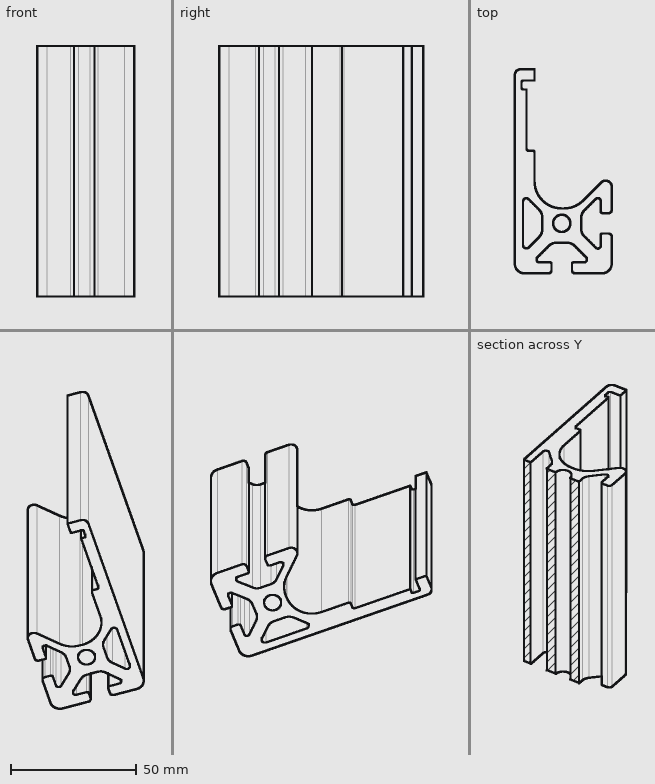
import math

import cadquery as cq

length = 100.0
bore_diameter = 6.8

width = 38.8
height = 81.5
slotted_side = 20.0
right_x = slotted_side
bottom_y = -slotted_side
left_x = right_x - width
top_y = bottom_y + height
foot_radius = 4.0
plate_tip_radius = 2.5

slot_half_width = 4.0
lip_thickness = 4.5
lip_depth = right_x - lip_thickness
lip_outer_radius = 1.4
lip_inner_radius = 0.8

core_half = 7.8
core_corner_radius = 4.0
web_offset = 3.9
slot_tip_radius = 1.1

pocket_wall = 3.4
pocket_web_offset = 3.6
pocket_core_radius = 4.5
pocket_wall_radius = 1.3

thick_plate_x = left_x + 8.0
thin_plate_x = left_x + 4.8
step_y = 29.0
step_inner_radius = 0.8
step_outer_radius = 0.8
hook_thickness = 4.6
notch_width = 3.5
notch_floor_x = left_x + 2.8
notch_radius = 0.6
hook_y = top_y - hook_thickness
notch_bottom_y = hook_y - notch_width

channel_floor_y = 6.0
channel_radius = 10.7
arm_rise = 0.6
arm_tip_radius = 2.5


def unit_vector(start, end):
    """Unit vector from start to end, both given as (x, y, ...)."""
    dx = end[0] - start[0]
    dy = end[1] - start[1]
    size = math.hypot(dx, dy)
    return dx / size, dy / size


def round_corner(before, corner, after):
    """Start, middle and end points of the arc that rounds one corner (x, y, radius)."""
    x, y, radius = corner
    ax, ay = unit_vector(corner, before)
    bx, by = unit_vector(corner, after)
    half_angle = math.acos(ax * bx + ay * by) / 2
    tangent = radius / math.tan(half_angle)
    bisector = math.hypot(ax + bx, ay + by)
    reach = radius / math.sin(half_angle) - radius
    start = (x + ax * tangent, y + ay * tangent)
    middle = (x + (ax + bx) / bisector * reach, y + (ay + by) / bisector * reach)
    end = (x + bx * tangent, y + by * tangent)
    return start, middle, end


def rounded_prism(corners):
    """Full-length prism of a closed outline of corners (x, y, radius); the first is left sharp."""
    outline = cq.Workplane("XY").moveTo(*corners[0][:2])
    for i in range(1, len(corners)):
        corner = corners[i]
        if corner[2] == 0:
            outline = outline.lineTo(*corner[:2])
            continue
        start, middle, end = round_corner(corners[i - 1], corner, corners[(i + 1) % len(corners)])
        outline = outline.lineTo(*start).threePointArc(middle, end)
    return outline.close().extrude(length)


def slot_corners():
    """Right-hand T-slot from its lower lip to its upper lip."""
    tip = lip_depth - web_offset
    core_corner = core_half - web_offset
    lower_half = [
        (right_x, -slot_half_width, lip_outer_radius),
        (lip_depth, -slot_half_width, lip_inner_radius),
        (lip_depth, -tip, slot_tip_radius),
        (core_half, -core_corner, core_corner_radius),
    ]
    upper_half = [(x, -y, radius) for x, y, radius in reversed(lower_half)]
    return lower_half + upper_half


def body():
    """Outer profile, listed anticlockwise from the hook at the top of the plate."""
    right_slot = slot_corners()
    bottom_slot = [(y, -x, radius) for x, y, radius in right_slot]
    plate = [
        (thick_plate_x, step_y, step_outer_radius),
        (thin_plate_x, step_y, step_inner_radius),
        (thin_plate_x, notch_bottom_y, 0),
        (notch_floor_x, notch_bottom_y, notch_radius),
        (notch_floor_x, hook_y, notch_radius),
        (thick_plate_x, hook_y, 0),
    ]
    channel = [
        (right_x, right_x + arm_rise, arm_tip_radius),
        (channel_floor_y - arm_rise, channel_floor_y, channel_radius),
        (thick_plate_x, channel_floor_y, channel_radius),
    ]
    plate_side = [
        (thick_plate_x, top_y, 0),
        (left_x, top_y, plate_tip_radius),
        (left_x, bottom_y, foot_radius),
    ]
    right_foot = [(right_x, bottom_y, foot_radius)]
    return rounded_prism(plate_side + bottom_slot + right_foot + right_slot + channel + plate)


def closed_pocket():
    """Pocket between the core and the tall plate, started midway along its wall."""
    wall_x = left_x + pocket_wall
    tip = -wall_x - pocket_web_offset
    core_corner = core_half - pocket_web_offset
    return rounded_prism([
        (wall_x, 0, 0),
        (wall_x, tip, pocket_wall_radius),
        (-core_half, core_corner, pocket_core_radius),
        (-core_half, -core_corner, pocket_core_radius),
        (wall_x, -tip, pocket_wall_radius),
    ])


def bore():
    """Through bore along the core axis."""
    return cq.Workplane("XY").circle(bore_diameter / 2).extrude(length)


result = body().cut(closed_pocket()).cut(bore())